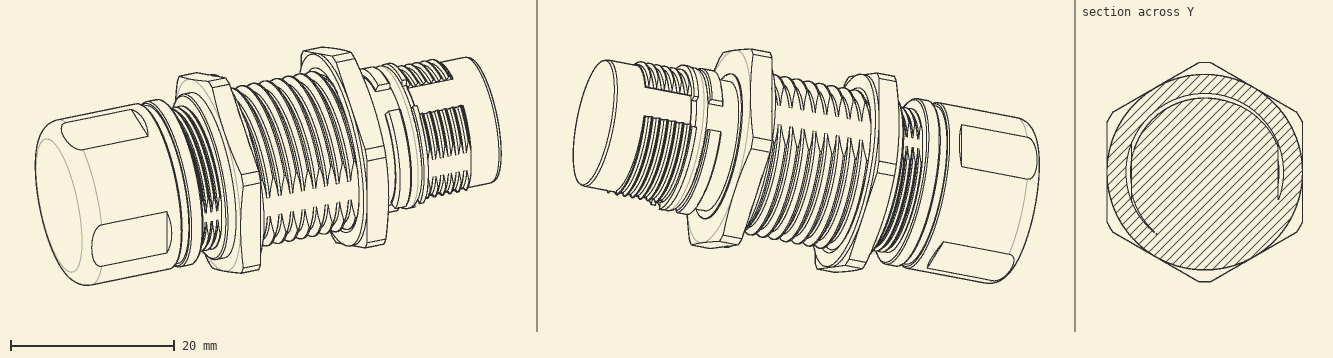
import cadquery as cq
import math


CAP_FACE = 0.0
CAP_FLAT_END = 10.45
CAP_BACK = 12.35
SEAL_FRONT = 13.3
SEAL_BACK = 15.05
COLLAR_FRONT = 18.0
FRONT_NUT_START = 19.25
FRONT_NUT_END = 22.3
REAR_NUT_START = 35.2
REAR_NUT_END = 38.45
THREAD_END_DISC = 38.6
LUG_FRONT = 40.7
LUG_BACK = 42.55
O_RING_CENTRE = 43.37
FLANGE_FRONT = 44.1
FLANGE_BACK = 44.67
PLUG_THREAD_END = 50.6
PLUG_END = 54.55

CAP_RADIUS = 10.3
CAP_FLAT_DISTANCE = 9.83
CAP_FILLET = 2.0
GROOVE_RADIUS = 9.83
RIM_CHAMFER = 0.2
FLAT_COUNT = 4

NUT_ACROSS_FLATS = 23.9
NUT_CORNER_DIAMETER = 26.8
NUT_WASHER_FACE = 0.45
NUT_CHAMFER_DEPTH = 0.35
NUT_COUNTERSINK_RADIUS = 10.25
NUT_COUNTERSINK_DEPTH = 0.65

NECK_ROOT, NECK_CREST, NECK_PITCH, NECK_FLAT = 8.53, 8.95, 0.75, 8.5
BODY_ROOT, BODY_CREST, BODY_PITCH, BODY_FLAT = 9.07, 9.9, 1.5, 8.96
PLUG_ROOT, PLUG_CREST, PLUG_PITCH, PLUG_FLAT = 7.98, 8.4, 1.0, 7.87
NECK_CREST_AT = 16.9
BODY_CREST_AT = 33.31
PLUG_CREST_AT = 50.06
THREAD_HALF_ANGLE = math.radians(30)
THREAD_EMBED = 0.2
SEAM_TURN = 37.0

SLEEVE_RADIUS = 8.03
THREAD_DISC_RADIUS = 9.0
LUG_RADIUS = 8.97
LUG_RAMP_LENGTH = 0.3
LUG_RAMP_RADIUS = 8.25
LUG_CHAMFER = 0.2
O_RING_SECTION_RADIUS = 0.68
O_RING_RADIUS = 8.2
PLUG_RADIUS = 7.85
PLUG_CHAMFER_LENGTH = 0.35
PLUG_CHAMFER_DEPTH = 0.12

OPENING_COUNT = 3
LUG_OPENING_START, LUG_OPENING_END = 57.5, 83.5
PLUG_SLOT_START, PLUG_SLOT_END = 51.5, 81.0


def cylinder(radius, start, end):
    return cq.Workplane("XZ", origin=(0, start, 0)).circle(radius).extrude(start - end)


def revolved(points):
    """Turn a closed (radius, station) outline around the axis."""
    return cq.Workplane("XY").polyline(points).close().revolve(360, (0, 0, 0), (0, 1, 0))


def chamfered_disc(radius, start, end, start_chamfer=0.0, end_chamfer=0.0):
    disc = cylinder(radius, start, end)
    if start_chamfer:
        disc = disc.faces("<Y").chamfer(start_chamfer)
    if end_chamfer:
        disc = disc.faces(">Y").chamfer(end_chamfer)
    return disc


def openings(start_angle, end_angle, start, end):
    """Equal sector-shaped cutters, spaced evenly around the axis and reaching in to it."""
    reach = 2 * BODY_CREST
    a = math.radians(start_angle)
    b = math.radians(end_angle)
    wedge = (
        cq.Workplane("XZ", origin=(0, start, 0))
        .polyline([
            (0, 0),
            (reach * math.cos(a), reach * math.sin(a)),
            (reach * math.cos(b), reach * math.sin(b)),
        ])
        .close()
        .extrude(start - end)
    )
    cutters = cq.Workplane("XY")
    for i in range(OPENING_COUNT):
        cutters = cutters.add(wedge.rotate((0, 0, 0), (0, 1, 0), i * 360 / OPENING_COUNT))
    return cutters.combine()


def thread(root, crest, pitch, flat, crest_at, start, end):
    """Right-hand threaded stretch with a flat on its +X and -X sides."""
    crest_half = pitch / 16
    base_half = crest_half + (crest - root + THREAD_EMBED) * math.tan(THREAD_HALF_ANGLE)
    turns_back = math.ceil((crest_at - start) / pitch + 0.5)
    ridge_start = crest_at - turns_back * pitch
    ridge_length = math.ceil((end - ridge_start) / pitch + 0.5) * pitch
    inner = root - THREAD_EMBED
    path = cq.Wire.makeHelix(pitch, ridge_length, inner)
    ridge = (
        cq.Workplane("XZ")
        .polyline([(inner, -base_half), (crest, -crest_half), (crest, crest_half), (inner, base_half)])
        .close()
        .sweep(cq.Workplane(path), isFrenet=True)
        .rotate((0, 0, 0), (0, 0, 1), -90)
        .rotate((0, 0, 0), (1, 0, 0), -90)
        .translate((0, ridge_start, 0))
    )
    core = cylinder(root, ridge_start - pitch, ridge_start + ridge_length + pitch)
    core = core.rotate((0, 0, 0), (0, 1, 0), SEAM_TURN)
    length = end - start
    envelope = cq.Workplane("XY").box(2 * flat, length, 4 * crest).translate((0, start + length / 2, 0))
    return core.union(ridge).intersect(envelope)


def cap():
    body = chamfered_disc(CAP_RADIUS, CAP_FACE, CAP_BACK, end_chamfer=RIM_CHAMFER)
    body = body.faces("<Y").edges().fillet(CAP_FILLET)
    depth = CAP_RADIUS - CAP_FLAT_DISTANCE
    flat = (
        cq.Workplane("XY")
        .polyline([
            (CAP_FLAT_DISTANCE, CAP_FACE),
            (CAP_FLAT_DISTANCE, CAP_FLAT_END),
            (CAP_RADIUS, CAP_FLAT_END + depth),
            (2 * CAP_RADIUS, CAP_FLAT_END + depth),
            (2 * CAP_RADIUS, CAP_FACE),
        ])
        .close()
        .extrude(CAP_RADIUS, both=True)
    )
    for i in range(FLAT_COUNT):
        body = body.cut(flat.rotate((0, 0, 0), (0, 1, 0), i * 360 / FLAT_COUNT))
    return body


def hex_nut(start, end, washer_at_end):
    """Hex nut with flats on +X and -X.

    It has a countersunk washer face on one side and a chamfer on the other.
    """
    flat_radius = NUT_ACROSS_FLATS / 2
    corner_radius = NUT_CORNER_DIAMETER / 2
    length = end - start
    hexagon = (
        cq.Workplane("XZ")
        .polygon(6, NUT_ACROSS_FLATS / math.cos(math.pi / 6))
        .extrude(-length)
        .rotate((0, 0, 0), (0, 1, 0), 30)
    )
    turned = revolved([
        (0, 0),
        (flat_radius, 0),
        (corner_radius, NUT_CHAMFER_DEPTH),
        (corner_radius, length - NUT_WASHER_FACE),
        (flat_radius, length - NUT_WASHER_FACE),
        (flat_radius, length),
        (NUT_COUNTERSINK_RADIUS, length),
        (BODY_ROOT, length - NUT_COUNTERSINK_DEPTH),
        (0, length - NUT_COUNTERSINK_DEPTH),
    ])
    nut = hexagon.intersect(turned)
    if washer_at_end:
        return nut.translate((0, start, 0))
    return nut.mirror("XZ").translate((0, end, 0))


def lugs():
    ring = revolved([
        (0, LUG_FRONT),
        (LUG_RAMP_RADIUS, LUG_FRONT),
        (LUG_RADIUS, LUG_FRONT + LUG_RAMP_LENGTH),
        (LUG_RADIUS, LUG_BACK - LUG_CHAMFER),
        (LUG_RADIUS - LUG_CHAMFER, LUG_BACK),
        (0, LUG_BACK),
    ])
    flange = cylinder(LUG_RADIUS, FLANGE_FRONT, FLANGE_BACK)
    cutters = openings(LUG_OPENING_START, LUG_OPENING_END, LUG_FRONT, FLANGE_BACK)
    return ring.union(flange).cut(cutters)


def o_ring():
    return (
        cq.Workplane("XY")
        .center(O_RING_RADIUS, O_RING_CENTRE)
        .circle(O_RING_SECTION_RADIUS)
        .revolve(360, (-O_RING_RADIUS, 0, 0), (-O_RING_RADIUS, 1, 0))
    )


def plug():
    body = revolved([
        (0, LUG_BACK),
        (PLUG_RADIUS, LUG_BACK),
        (PLUG_RADIUS, PLUG_END - PLUG_CHAMFER_LENGTH),
        (PLUG_RADIUS - PLUG_CHAMFER_DEPTH, PLUG_END),
        (0, PLUG_END),
    ])
    threaded = thread(
        PLUG_ROOT, PLUG_CREST, PLUG_PITCH, PLUG_FLAT, PLUG_CREST_AT, FLANGE_BACK, PLUG_THREAD_END
    )
    slots = openings(PLUG_SLOT_START, PLUG_SLOT_END, FLANGE_BACK, PLUG_THREAD_END)
    return body.union(threaded.cut(slots.cut(body)))


def neck_thread():
    return thread(NECK_ROOT, NECK_CREST, NECK_PITCH, NECK_FLAT, NECK_CREST_AT, SEAL_BACK, COLLAR_FRONT)


def body_thread():
    """Thread between the nuts, running into the countersink of each."""
    start = FRONT_NUT_END - NUT_COUNTERSINK_DEPTH
    end = REAR_NUT_START + NUT_COUNTERSINK_DEPTH
    return thread(BODY_ROOT, BODY_CREST, BODY_PITCH, BODY_FLAT, BODY_CREST_AT, start, end)


result = (
    cap()
    .union(cylinder(GROOVE_RADIUS, CAP_BACK, SEAL_FRONT))
    .union(chamfered_disc(CAP_RADIUS, SEAL_FRONT, SEAL_BACK, RIM_CHAMFER, RIM_CHAMFER))
    .union(neck_thread())
    .union(chamfered_disc(CAP_RADIUS, COLLAR_FRONT, FRONT_NUT_START, start_chamfer=RIM_CHAMFER))
    .union(hex_nut(FRONT_NUT_START, FRONT_NUT_END, True))
    .union(body_thread())
    .union(hex_nut(REAR_NUT_START, REAR_NUT_END, False))
    .union(cylinder(THREAD_DISC_RADIUS, REAR_NUT_END, THREAD_END_DISC))
    .union(cylinder(SLEEVE_RADIUS, THREAD_END_DISC, FLANGE_BACK))
    .union(lugs())
    .union(o_ring())
    .union(plug())
)